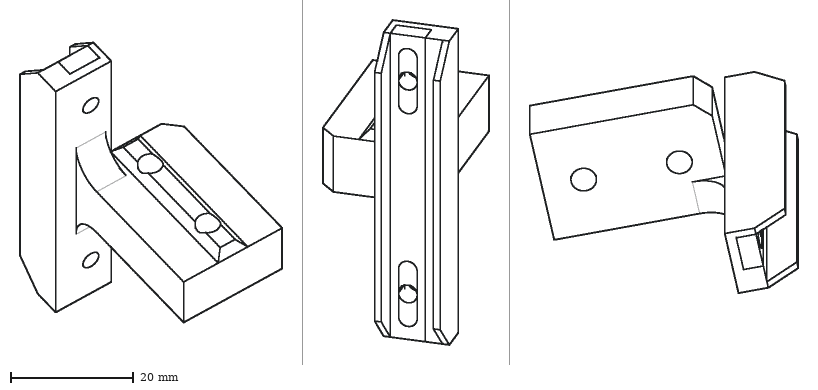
import cadquery as cq
import math

channel_height = 55
channel_width = 11.3
channel_depth = 10.0
web_thickness = channel_depth / 2
flange_thickness = 1.15
flange_chamfer = 5.0

arm_length = 30.0
arm_width = 19.95
arm_height = 10.1
arm_corner_chamfer = 2.65
fillet_radius = 5.65

rib_width = 6.0
rib_height = 1.5
rib_side_angle = 45

bolt_hole_diameter = 4.2
bolt_hole_inset = 7.0

strip_width = 6.0
strip_thickness = 3.3

slot_length = 11.75
slot_width = 3.2
screw_hole_diameter = 3.2
screw_hole_spacing = 38.5

floor_x = channel_depth - web_thickness
arm_end_x = channel_depth + arm_length
mid_z = channel_height / 2
arm_top_z = mid_z + arm_height / 2
strip_back_y = channel_width - flange_thickness
strip_front_y = strip_back_y - strip_width
strip_mid_y = strip_back_y - strip_width / 2
arm_mid_y = strip_front_y + arm_width / 2
arm_mid_x = channel_depth + arm_length / 2
bolt_hole_places = [
    (channel_depth + bolt_hole_inset, arm_mid_y),
    (arm_end_x - bolt_hole_inset, arm_mid_y),
]
screw_hole_heights = [mid_z - screw_hole_spacing / 2, mid_z + screw_hole_spacing / 2]


def corner_box(size_x, size_y, size_z, corner):
    """Box that grows in +X, +Y and +Z from its corner."""
    return cq.Workplane("XY").box(size_x, size_y, size_z, centered=False).translate(corner)


def on_channel_floor():
    """Sketch plane on the channel floor, facing +X, with its origin on the strip's centre line."""
    return cq.Workplane("YZ", origin=(floor_x, strip_mid_y, 0))


def make_channel():
    channel = corner_box(channel_depth, channel_width, channel_height, (0, 0, 0))
    channel = channel.edges("<X and |Y").chamfer(flange_chamfer)
    inner_width = channel_width - 2 * flange_thickness
    hollow = corner_box(floor_x, inner_width, channel_height, (0, flange_thickness, 0))
    return channel.cut(hollow)


def make_arm():
    corner = (channel_depth, strip_front_y, mid_z - arm_height / 2)
    arm = corner_box(arm_length, arm_width, arm_height, corner)
    return arm.edges("|Z and <X and >Y").chamfer(arm_corner_chamfer)


def make_arm_fillets():
    """Concave fillets above and below the arm where it leaves the web."""
    arm_half = arm_height / 2
    fillet_end = arm_half + fillet_radius
    arc_offset = fillet_radius * (1 - math.sqrt(0.5))
    return (
        cq.Workplane("XZ", origin=(channel_depth, strip_back_y, mid_z))
        .moveTo(0, fillet_end)
        .threePointArc((arc_offset, arm_half + arc_offset), (fillet_radius, arm_half))
        .lineTo(fillet_radius, -arm_half)
        .threePointArc((arc_offset, -arm_half - arc_offset), (0, -fillet_end))
        .close()
        .extrude(strip_width)
    )


def make_rib():
    """Frustum with sloping sides and ends, as long as the arm at its foot."""
    return (
        cq.Workplane("XY", origin=(arm_mid_x, arm_mid_y, arm_top_z))
        .rect(arm_length, rib_width)
        .extrude(rib_height, taper=rib_side_angle)
    )


def make_bolt_holes():
    return (
        cq.Workplane("XY")
        .pushPoints(bolt_hole_places)
        .circle(bolt_hole_diameter / 2)
        .extrude(channel_height)
    )


def make_screw_holes():
    return (
        on_channel_floor()
        .pushPoints([(0, height) for height in screw_hole_heights])
        .circle(screw_hole_diameter / 2)
        .extrude(web_thickness)
    )


def make_strip():
    strip = corner_box(strip_thickness, strip_width, channel_height, (floor_x, strip_front_y, 0))
    slots = (
        on_channel_floor()
        .pushPoints([(0, height) for height in screw_hole_heights])
        .slot2D(slot_length, slot_width, 90)
        .extrude(strip_thickness)
    )
    return strip.cut(slots)


def make_housing(strip):
    housing = make_channel().union(make_arm()).union(make_arm_fillets()).union(make_rib())
    housing = housing.cut(strip).cut(make_bolt_holes())
    return housing.cut(make_screw_holes())


strip = make_strip()
housing = make_housing(strip)

result = cq.Compound.makeCompound([housing.val(), strip.val()])